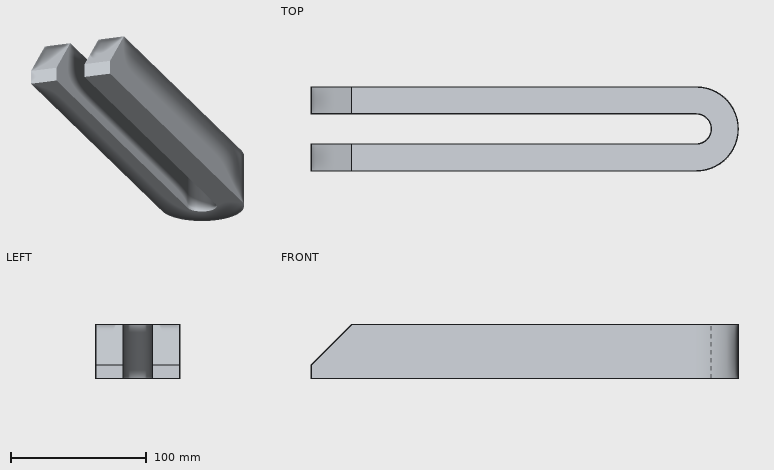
import cadquery as cq

length = 315.0
width = 62.0
height = 40.0
slot_width = 22.0
bevel = 30.0

outer_radius = width / 2
slot_radius = slot_width / 2
bend_center_x = length - outer_radius


def round_ended_bar(radius):
    """Full-height bar from X = 0 to the bend, with a semicircular +X end."""
    return (
        cq.Workplane("XY")
        .moveTo(0, -radius)
        .lineTo(bend_center_x, -radius)
        .threePointArc((bend_center_x + radius, 0), (bend_center_x, radius))
        .lineTo(0, radius)
        .close()
        .extrude(height)
    )


def tip_bevel():
    """Triangular wedge removed from the upper edge of both leg tips."""
    return (
        cq.Workplane("XZ")
        .moveTo(0, height - bevel)
        .lineTo(bevel, height)
        .lineTo(0, height)
        .close()
        .extrude(outer_radius, both=True)
    )


strap = round_ended_bar(outer_radius)
slot = round_ended_bar(slot_radius)
result = strap.cut(slot).cut(tip_bevel())